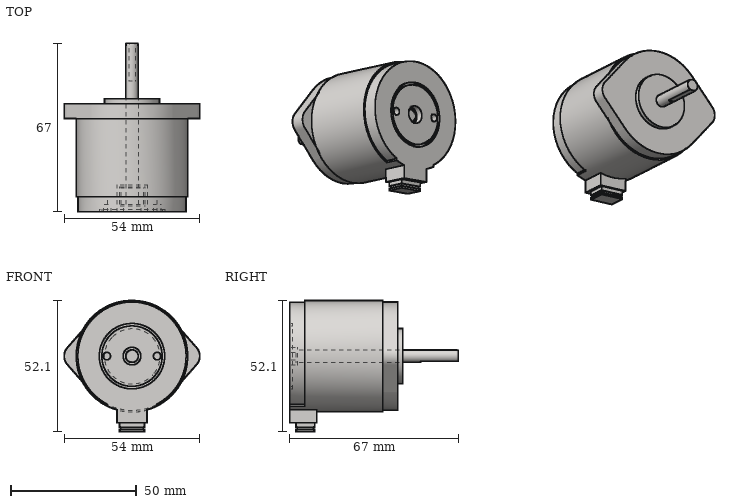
import cadquery as cq
import math


rear_rim_length = 6.0
barrel_length = 31.0
flange_thickness = 6.0
pilot_length = 2.0
shaft_projection = 22.0

flange_back_y = rear_rim_length + barrel_length
flange_front_y = flange_back_y + flange_thickness
pilot_front_y = flange_front_y + pilot_length
shaft_end_y = pilot_front_y + shaft_projection

barrel_radius = 22.15
rim_radius = 21.5
flange_radius = 21.5
pilot_radius = 11.0
shaft_radius = 2.5

ear_span = 53.97
ear_tip_radius = 5.0

pad_width = 19.6

groove_outer_radius = 13.0
groove_inner_radius = 12.0
groove_depth = 1.0
bore_radius = 3.5
bore_depth = 3.0
pin_hole_radius = 1.5
pin_hole_depth = 3.0
pin_hole_offset = 10.0

connector_width = 12.0
connector_length = 10.8
connector_top_z = -19.0
connector_bottom_z = -26.5
plug_width = 10.0
plug_length = 7.5
plug_center_y = 6.25
plug_groove_depth = 0.45
plug_groove_top_z = -28.15
plug_groove_bottom_z = -29.1
plug_bottom_z = -30.0

shaft_stub_length = 0.5
shaft_back_y = bore_depth - shaft_stub_length
shaft_taper_length = 1.0
shaft_taper_depth = 0.15
shaft_flat_length = 15.0
shaft_flat_z = -2.1


def cylinder(radius, start_y, end_y, x=0.0):
    """Cylinder parallel to the motor axis, at height z = 0."""
    return cq.Workplane("XZ", origin=(x, start_y, 0)).circle(radius).extrude(start_y - end_y)


def block(width, start_y, end_y, bottom_z, top_z):
    """Rectangular block centred on x = 0."""
    size = (width, end_y - start_y, top_z - bottom_z)
    return cq.Workplane("XY").box(*size, centered=(True, False, False)).translate((0, start_y, bottom_z))


def make_flange():
    """Round plate with two ears whose straight flanks are tangent to the plate and to the ear tips."""
    tip_x = ear_span / 2
    tip_center_x = tip_x - ear_tip_radius
    tangent_angle = math.acos((flange_radius - ear_tip_radius) / tip_center_x)
    along = math.cos(tangent_angle)
    across = math.sin(tangent_angle)
    plate_x = flange_radius * along
    plate_z = flange_radius * across
    ear_x = tip_center_x + ear_tip_radius * along
    ear_z = ear_tip_radius * across
    return (
        cq.Workplane("XZ", origin=(0, flange_back_y, 0))
        .moveTo(plate_x, plate_z)
        .threePointArc((0, flange_radius), (-plate_x, plate_z))
        .lineTo(-ear_x, ear_z)
        .threePointArc((-tip_x, 0), (-ear_x, -ear_z))
        .lineTo(-plate_x, -plate_z)
        .threePointArc((0, -flange_radius), (plate_x, -plate_z))
        .lineTo(ear_x, -ear_z)
        .threePointArc((tip_x, 0), (ear_x, ear_z))
        .close()
        .extrude(-flange_thickness)
    )


def make_rim_pad():
    """Stretch of the rear rim that keeps the full barrel radius around the connector."""
    pad_limits = block(pad_width, 0, rear_rim_length, -barrel_radius, 0)
    return cylinder(barrel_radius, 0, rear_rim_length).intersect(pad_limits)


def make_connector():
    """Rectangular connector block with a grooved plug below it."""
    plug_start_y = plug_center_y - plug_length / 2
    plug_end_y = plug_center_y + plug_length / 2
    neck_width = plug_width - 2 * plug_groove_depth
    neck_start_y = plug_start_y + plug_groove_depth
    neck_end_y = plug_end_y - plug_groove_depth
    body = block(connector_width, 0, connector_length, connector_bottom_z, connector_top_z)
    collar = block(plug_width, plug_start_y, plug_end_y, plug_groove_top_z, connector_bottom_z)
    neck = block(neck_width, neck_start_y, neck_end_y, plug_groove_bottom_z, plug_groove_top_z)
    lip = block(plug_width, plug_start_y, plug_end_y, plug_bottom_z, plug_groove_bottom_z)
    return body.union(collar).union(neck).union(lip)


def make_housing():
    """Motor housing with a hole through its middle for the shaft."""
    housing = cylinder(barrel_radius, rear_rim_length, flange_back_y)
    housing = housing.union(cylinder(rim_radius, 0, rear_rim_length))
    housing = housing.union(make_rim_pad())
    housing = housing.union(make_flange())
    housing = housing.union(cylinder(pilot_radius, flange_front_y, pilot_front_y))
    housing = housing.union(make_connector())

    ring = cylinder(groove_outer_radius, 0, groove_depth).cut(cylinder(groove_inner_radius, 0, groove_depth))
    housing = housing.cut(ring)
    for x in (-pin_hole_offset, pin_hole_offset):
        housing = housing.cut(cylinder(pin_hole_radius, 0, pin_hole_depth, x))
    housing = housing.cut(cylinder(bore_radius, 0, bore_depth))
    return housing.cut(cylinder(shaft_radius, bore_depth, pilot_front_y))


def make_shaft():
    """Output shaft with a tapered front end and a flat on its underside."""
    taper_start_y = shaft_end_y - shaft_taper_length
    tip_radius = shaft_radius - shaft_taper_depth
    shaft = (
        cq.Workplane("XY")
        .moveTo(0, shaft_back_y)
        .lineTo(shaft_radius, shaft_back_y)
        .lineTo(shaft_radius, taper_start_y)
        .lineTo(tip_radius, shaft_end_y)
        .lineTo(0, shaft_end_y)
        .close()
        .revolve(360, (0, 0, 0), (0, 1, 0))
    )
    flat_start_y = shaft_end_y - shaft_flat_length
    return shaft.cut(block(2 * shaft_radius, flat_start_y, shaft_end_y, -shaft_radius, shaft_flat_z))


housing = make_housing()
shaft = make_shaft()

result = cq.Compound.makeCompound([housing.val(), shaft.val()])